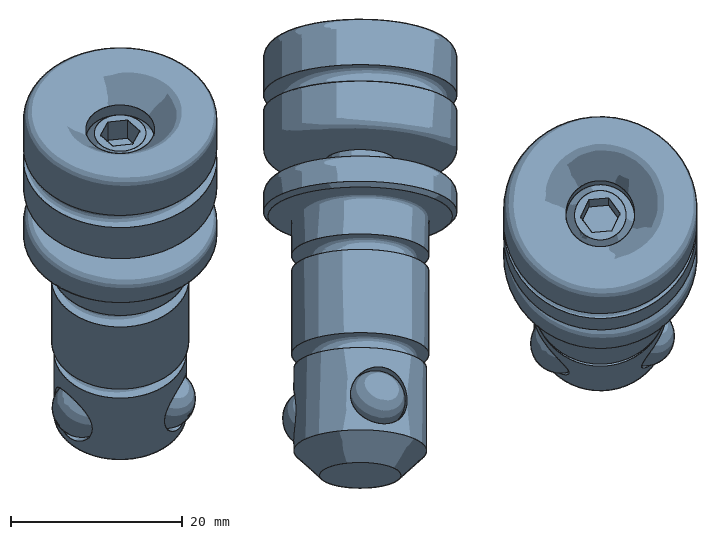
import cadquery as cq
import math


total_height = 52.6
outer_radius = 11.25
edge_round = 1.5

knob_height = 14.0
knob_groove_radius = 1.0
mouth_radius = 6.45
mouth_round = 2.0

spindle_radius = 4.0
spindle_top = 48.9
spindle_bottom = 13.0
spindle_chamfer = 1.0
hex_across_flats = 4.0
hex_sides = 6
hex_depth = 3.0

flange_top = 35.8
flange_thickness = 4.05
flange_chamfer = 0.5
barrel_radius = 8.0
barrel_round = 0.7
groove_floor_radius = 6.7
groove_round = 0.85
upper_groove_top = 26.9
upper_groove_width = 1.9
lower_groove_top = 14.85
lower_groove_width = 1.75
nose_radius = 7.75
nose_chamfer = 3.0

ball_count = 3
ball_radius = 3.45
ball_offset = 5.7
ball_height = 7.35

knob_bottom = total_height - knob_height
knob_middle = total_height - knob_height / 2
flange_bottom = flange_top - flange_thickness
diagonal = math.sqrt(0.5)


def revolve_profile(profile):
    """Turn a closed (radius, height) profile about the Z axis."""
    return profile.close().revolve(360, (0, 0, 0), (0, 1, 0))


def arc_inset(radius):
    """Distance from either wall of a square corner to the middle of its quarter round."""
    return radius * (1 - diagonal)


def rim_round_middle(top):
    """Middle point of the quarter round on the upper outer rim of a disc."""
    inset = arc_inset(edge_round)
    return (outer_radius - inset, top - inset)


def make_knob():
    mouth_edge = mouth_radius + mouth_round * diagonal
    cone_top = total_height - arc_inset(mouth_round)
    cone_bottom = cone_top - (mouth_radius - spindle_radius)
    half_turn_in = math.radians(45) / 2
    mouth_arc_middle = (
        mouth_edge - mouth_round * math.sin(half_turn_in),
        total_height - mouth_round * (1 - math.cos(half_turn_in)),
    )
    rim_inset = arc_inset(edge_round)
    bottom_round_middle = (outer_radius - rim_inset, knob_bottom + rim_inset)
    return revolve_profile(
        cq.Workplane("XZ")
        .moveTo(spindle_radius, knob_bottom)
        .lineTo(outer_radius - edge_round, knob_bottom)
        .threePointArc(bottom_round_middle, (outer_radius, knob_bottom + edge_round))
        .lineTo(outer_radius, knob_middle - knob_groove_radius)
        .threePointArc(
            (outer_radius - knob_groove_radius, knob_middle),
            (outer_radius, knob_middle + knob_groove_radius),
        )
        .lineTo(outer_radius, total_height - edge_round)
        .threePointArc(rim_round_middle(total_height), (outer_radius - edge_round, total_height))
        .lineTo(mouth_edge, total_height)
        .threePointArc(mouth_arc_middle, (mouth_radius, cone_top))
        .lineTo(spindle_radius, cone_bottom)
    )


def make_spindle():
    shaft = (
        cq.Workplane("XY")
        .workplane(offset=spindle_bottom)
        .circle(spindle_radius)
        .extrude(spindle_top - spindle_bottom)
        .faces(">Z")
        .chamfer(spindle_chamfer)
    )
    hex_across_corners = hex_across_flats / math.cos(math.pi / hex_sides)
    hex_socket = (
        cq.Workplane("XY")
        .workplane(offset=spindle_top - hex_depth)
        .transformed(rotate=(0, 0, 90))
        .polygon(hex_sides, hex_across_corners)
        .extrude(hex_depth)
    )
    return shaft.cut(hex_socket)


def add_groove(profile, top, width, top_radius, bottom_radius):
    """Continue a downward profile through a groove with rounded floor corners."""
    bottom = top - width
    wall_end = groove_floor_radius + groove_round
    inset = arc_inset(groove_round)
    return (
        profile.lineTo(top_radius, top)
        .lineTo(wall_end, top)
        .threePointArc(
            (groove_floor_radius + inset, top - inset), (groove_floor_radius, top - groove_round)
        )
        .lineTo(groove_floor_radius, bottom + groove_round)
        .threePointArc((groove_floor_radius + inset, bottom + inset), (wall_end, bottom))
        .lineTo(bottom_radius, bottom)
    )


def make_housing():
    barrel_inset = arc_inset(barrel_round)
    profile = (
        cq.Workplane("XZ")
        .moveTo(0, flange_top)
        .lineTo(outer_radius - edge_round, flange_top)
        .threePointArc(rim_round_middle(flange_top), (outer_radius, flange_top - edge_round))
        .lineTo(outer_radius, flange_bottom + flange_chamfer)
        .lineTo(outer_radius - flange_chamfer, flange_bottom)
        .lineTo(barrel_radius + barrel_round, flange_bottom)
        .threePointArc(
            (barrel_radius + barrel_inset, flange_bottom - barrel_inset),
            (barrel_radius, flange_bottom - barrel_round),
        )
    )
    profile = add_groove(profile, upper_groove_top, upper_groove_width, barrel_radius, barrel_radius)
    profile = add_groove(profile, lower_groove_top, lower_groove_width, barrel_radius, nose_radius)
    profile = (
        profile.lineTo(nose_radius, nose_chamfer)
        .lineTo(nose_radius - nose_chamfer, 0)
        .lineTo(0, 0)
    )
    housing = revolve_profile(profile)

    bore = (
        cq.Workplane("XY")
        .workplane(offset=spindle_bottom)
        .circle(spindle_radius)
        .extrude(flange_top - spindle_bottom)
    )
    housing = housing.cut(bore)
    for index in range(ball_count):
        housing = housing.cut(turn_to_ball(make_ball_pocket(), index))
    return housing


def turn_to_ball(shape, index):
    """Turn a shape built on the +X side to the place of the given ball."""
    return shape.rotate((0, 0, 0), (0, 0, 1), index * 360 / ball_count)


def make_ball():
    return cq.Workplane("XY").sphere(ball_radius).translate((ball_offset, 0, ball_height))


def make_ball_pocket():
    """Round-bottomed radial pocket of the ball's own radius."""
    opening = (
        cq.Workplane("YZ", origin=(ball_offset, 0, ball_height))
        .circle(ball_radius)
        .extrude(barrel_radius)
    )
    return opening.union(make_ball())


knob = make_knob()
spindle = make_spindle()
housing = make_housing()
balls = [turn_to_ball(make_ball(), index) for index in range(ball_count)]

result = cq.Compound.makeCompound(
    [knob.val(), spindle.val(), housing.val(), *[ball.val() for ball in balls]]
)